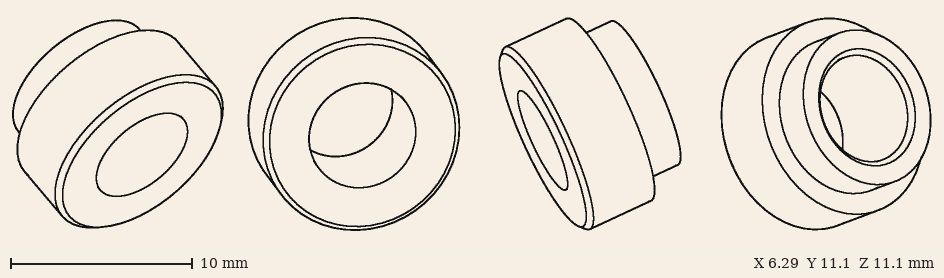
import cadquery as cq

body_diameter = 11.05
collar_diameter = 8.72
bore_diameter = 6.0
total_length = 6.29
collar_length = 2.21
body_length = total_length - collar_length
chamfer = 0.3


def make_collar_and_body():
    """Solid stepped blank, starting at the collar face on X = 0."""
    collar = cq.Workplane("YZ").circle(collar_diameter / 2).extrude(total_length)
    body = (
        cq.Workplane("YZ")
        .workplane(offset=collar_length)
        .circle(body_diameter / 2)
        .extrude(body_length)
        .faces(">X")
        .edges()
        .chamfer(chamfer)
    )
    return collar.union(body)


def make_bore():
    """Through bore with a countersunk mouth at the collar face."""
    bore_radius = bore_diameter / 2
    profile = [
        (0, 0),
        (0, bore_radius + chamfer),
        (chamfer, bore_radius),
        (total_length, bore_radius),
        (total_length, 0),
    ]
    return cq.Workplane("XY").polyline(profile).close().revolve(360, (0, 0, 0), (1, 0, 0))


result = make_collar_and_body().cut(make_bore())